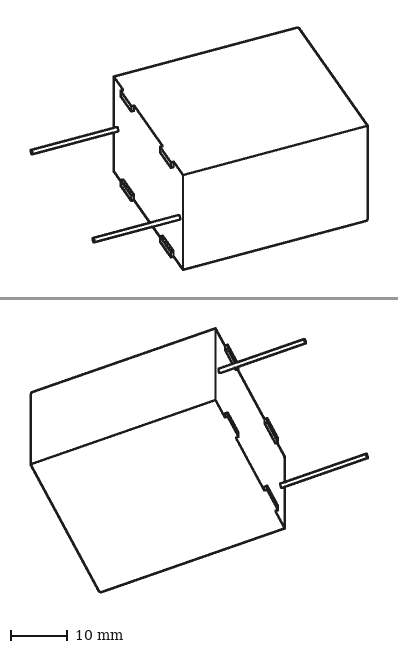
import cadquery as cq

TOTAL_LENGTH = 52.3
HOUSING_WIDTH = 30.8
HOUSING_HEIGHT = 21.3
LEAD_LENGTH = 16.55
HOUSING_LENGTH = TOTAL_LENGTH - LEAD_LENGTH

END_FILLET = 0.5

FOOT_WIDTH = 4.85
FOOT_HEIGHT = 1.2
FOOT_PROJECTION = 0.5
FOOT_SIDE_INSET = 4.2
FOOT_X = HOUSING_WIDTH / 2 - FOOT_SIDE_INSET - FOOT_WIDTH / 2
FOOT_Z = (HOUSING_HEIGHT - FOOT_HEIGHT) / 2

LEAD_DIAMETER = 0.85
LEAD_PITCH = 27.5


def make_housing():
    """Box rounded at its closed +Y end, with four standoff feet on its lead face."""
    housing = cq.Workplane("XY").box(
        HOUSING_WIDTH, HOUSING_LENGTH, HOUSING_HEIGHT, centered=(True, False, True)
    )
    housing = housing.faces(">Y").edges().fillet(END_FILLET)

    feet = (
        cq.Workplane("XZ")
        .rect(2 * FOOT_X, 2 * FOOT_Z, forConstruction=True)
        .vertices()
        .rect(FOOT_WIDTH, FOOT_HEIGHT)
        .extrude(FOOT_PROJECTION)
    )
    return housing.union(feet)


def make_lead(x):
    """Straight wire that butts against the lead face at mid-height."""
    return cq.Workplane("XZ").center(x, 0).circle(LEAD_DIAMETER / 2).extrude(LEAD_LENGTH)


housing = make_housing()
leads = [make_lead(side * LEAD_PITCH / 2) for side in (-1, 1)]

result = cq.Compound.makeCompound([housing.val(), *[lead.val() for lead in leads]])